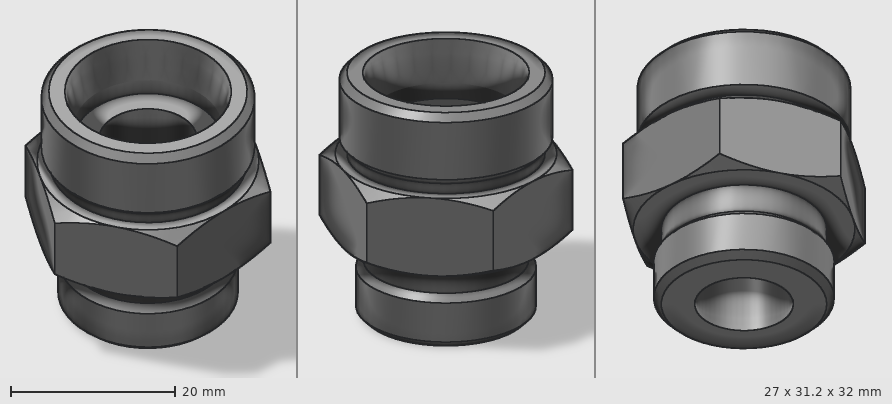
import cadquery as cq
import math

total_height = 32.0
hex_across_flats = 27.0
hex_bottom = 10.8
hex_top = 21.2
hex_chamfer_angle = 30.0

upper_diameter = 26.0
upper_relief_diameter = 24.15
upper_thread_bottom = 23.45

lower_diameter = 22.0
lower_neck_diameter = 20.15
lower_thread_top = 6.1

mouth_diameter = 20.3
socket_diameter = 18.0
through_diameter = 12.0
cone_half_angle = 12.0
socket_depth = 7.5

upper_radius = upper_diameter / 2
upper_relief_radius = upper_relief_diameter / 2
lower_radius = lower_diameter / 2
lower_neck_radius = lower_neck_diameter / 2
upper_bevel = upper_radius - upper_relief_radius
lower_bevel = lower_radius - lower_neck_radius


def revolve_profile(points):
    """Turn a closed (radius, height) outline about the Z axis."""
    outline = cq.Workplane("XZ").polyline(points).close()
    return outline.revolve(360, (0, 0, 0), (0, 1, 0))


def make_hexagon():
    """Hexagon with two flats facing X and its corners turned down at both ends."""
    corner_diameter = hex_across_flats / math.cos(math.radians(30))
    prism = (
        cq.Workplane("XY", origin=(0, 0, hex_bottom))
        .polygon(6, corner_diameter)
        .extrude(hex_top - hex_bottom)
        .rotate((0, 0, 0), (0, 0, 1), 30)
    )
    face_radius = hex_across_flats / 2
    corner_radius = corner_diameter / 2
    corner_drop = (corner_radius - face_radius) * math.tan(math.radians(hex_chamfer_angle))
    envelope = revolve_profile([
        (0, hex_bottom),
        (face_radius, hex_bottom),
        (corner_radius, hex_bottom + corner_drop),
        (corner_radius, hex_top - corner_drop),
        (face_radius, hex_top),
        (0, hex_top),
    ])
    return prism.intersect(envelope)


def make_turned_body():
    """Both threaded ends with their bevels and relief necks."""
    return revolve_profile([
        (0, 0),
        (lower_radius - lower_bevel, 0),
        (lower_radius, lower_bevel),
        (lower_radius, lower_thread_top),
        (lower_neck_radius, lower_thread_top + lower_bevel),
        (lower_neck_radius, hex_bottom),
        (upper_relief_radius, hex_bottom),
        (upper_relief_radius, upper_thread_bottom - upper_bevel),
        (upper_radius, upper_thread_bottom),
        (upper_radius, total_height - upper_bevel),
        (upper_radius - upper_bevel, total_height),
        (0, total_height),
    ])


def make_bore():
    """Conical mouth, cylindrical tube socket and through hole."""
    mouth_radius = mouth_diameter / 2
    socket_radius = socket_diameter / 2
    through_radius = through_diameter / 2
    cone_depth = (mouth_radius - socket_radius) / math.tan(math.radians(cone_half_angle))
    socket_floor = total_height - socket_depth
    return revolve_profile([
        (0, 0),
        (through_radius, 0),
        (through_radius, socket_floor),
        (socket_radius, socket_floor),
        (socket_radius, total_height - cone_depth),
        (mouth_radius, total_height),
        (0, total_height),
    ])


result = make_turned_body().union(make_hexagon()).cut(make_bore())